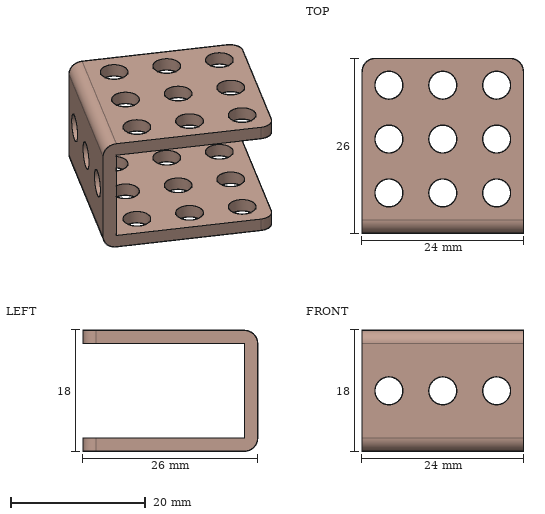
import cadquery as cq

width = 24.0
depth = 26.0
height = 18.0
thickness = 2.0
bend_radius = thickness
corner_radius = 2.0
hole_diameter = 4.1
holes_per_row = 3
hole_pitch = width / holes_per_row
edge_distance = hole_pitch / 2

web_face_y = -depth / 2
free_end_y = depth / 2
hole_offsets = [(i - (holes_per_row - 1) / 2) * hole_pitch for i in range(holes_per_row)]


def channel():
    """U-shaped channel, open toward +Y, with rounded bends and free corners."""
    block = cq.Workplane("XY").box(width, depth, height)
    block = block.edges("|X and <Y").fillet(bend_radius)
    block = block.edges("|Z and >Y").fillet(corner_radius)
    cavity = (
        cq.Workplane("XY")
        .box(width, depth, height - 2 * thickness)
        .translate((0, thickness, 0))
    )
    return block.cut(cavity)


def flange_holes():
    """Square grid of holes passing through both flanges."""
    grid_center_y = free_end_y - edge_distance - hole_offsets[-1]
    points = [(x, grid_center_y + y) for x in hole_offsets for y in hole_offsets]
    return (
        cq.Workplane("XY")
        .pushPoints(points)
        .circle(hole_diameter / 2)
        .extrude(height, both=True)
    )


def web_holes():
    """Single row of holes through the web at mid height."""
    return (
        cq.Workplane("XZ", origin=(0, web_face_y + thickness, 0))
        .pushPoints([(x, 0) for x in hole_offsets])
        .circle(hole_diameter / 2)
        .extrude(thickness)
    )


result = channel().cut(flange_holes()).cut(web_holes())